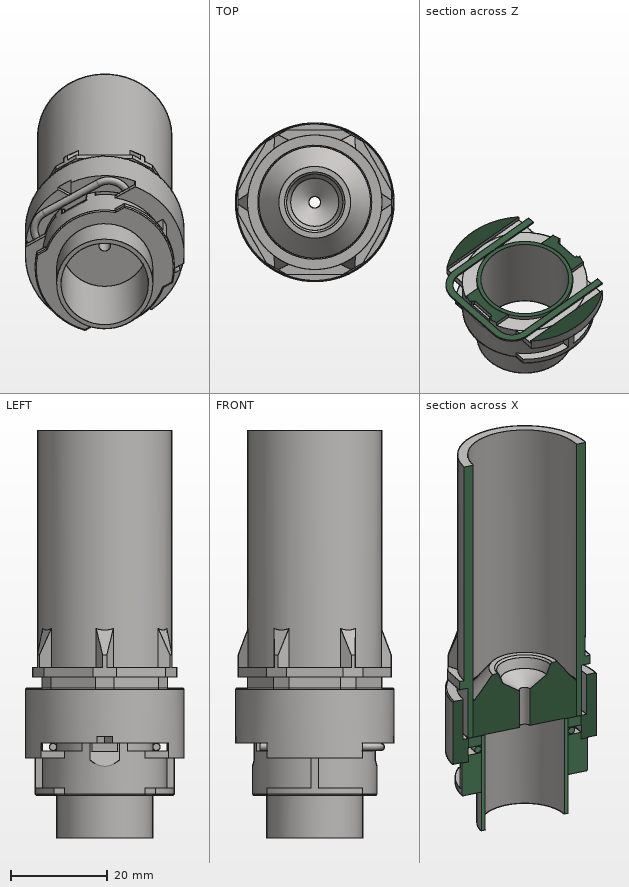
import cadquery as cq
import math

total_height = 84.7
joint_z = 22.0
edge_chamfer = 0.25
corner_count = 6

sleeve_radius = 10.0
sleeve_bore_radius = 9.1

carrier_radius = 13.0
carrier_bottom_z = 8.9
flange_radius = 14.5
flange_top_z = 10.4
web_width = 1.5
guard_half_width = 9.9
slot_inner_y = 4.75
notch_width = 6.1
notch_start_z = 14.9
notch_top_z = 17.95
notch_depth = 0.85
recess_width = 5.25
recess_depth = 1.35

ring_radius = 16.5
ring_bottom_z = 19.7
ring_top_z = 31.2
ring_bore_radius = 14.15
skirt_bottom_z = 16.6
mark_width = 3.2
mark_height = 1.35

wire_diameter = 1.5
wire_leg_start_x = -11.35
wire_bend_radius = 4.2
slot_bottom_z = 18.1

tube_radius = 14.0
tube_bore_radius = 11.9
neck_apothem = 13.05
neck_corner_distance = tube_radius
hex_apothem = 15.0
hex_corner_distance = 15.9
hex_bottom_z = 33.45
hex_top_z = 35.5
rib_bend_z = 38.0
rib_top_z = 43.5
rib_root_width = 3.55
rib_tip_width = 0.85

seal_cone_base_radius = 11.6
seal_cone_base_z = 30.5
seal_top_z = 35.6
seal_top_radius = 7.45
mouth_radius = 6.3
mouth_inner_radius = 5.85
mouth_depth = 0.4
throat_radius = 5.0
throat_depth = 2.5
funnel_depth = 2.5
cable_hole_radius = 1.2


def cylinder(radius, bottom_z, top_z):
    return cq.Workplane("XY").workplane(offset=bottom_z).circle(radius).extrude(top_z - bottom_z)


def block(x_range, y_range, z_range):
    """Box between the given limits along X, Y and Z."""
    sizes = [high - low for low, high in (x_range, y_range, z_range)]
    corner = (x_range[0], y_range[0], z_range[0])
    return cq.Workplane("XY").box(*sizes, centered=False).translate(corner)


def both_x_sides(tool):
    """The tool on the +X side, and its copy on the -X side."""
    return tool.union(tool.rotate((0, 0, 0), (0, 0, 1), 180))


def blunt_hexagon(apothem, corner_distance, bottom_z, top_z):
    """Hexagonal prism with one corner on +X, each corner cut off by a flat."""
    across_corners = 2 * apothem / math.cos(math.pi / corner_count)
    height = top_z - bottom_z
    plane = cq.Workplane("XY").workplane(offset=bottom_z)
    prism = plane.polygon(corner_count, across_corners).extrude(height)
    flats_diameter = 2 * corner_distance / math.cos(math.pi / corner_count)
    flats = plane.polygon(corner_count, flats_diameter).extrude(height)
    flats = flats.rotate((0, 0, 0), (0, 0, 1), 180 / corner_count)
    return prism.intersect(flats)


def make_sleeve():
    return cylinder(sleeve_radius, 0, joint_z).cut(cylinder(sleeve_bore_radius, 0, joint_z))


def ramped_notch():
    """Notch on the +X side: a ramp rising inward, then a flat wall with a recess in it."""
    wall_x = carrier_radius - notch_depth
    ramp = (
        cq.Workplane("XZ")
        .moveTo(carrier_radius, notch_start_z)
        .lineTo(wall_x, notch_top_z)
        .lineTo(wall_x, ring_bottom_z)
        .lineTo(carrier_radius, ring_bottom_z)
        .close()
        .extrude(notch_width / 2, both=True)
    )
    recess = block(
        (carrier_radius - recess_depth, carrier_radius),
        (-recess_width / 2, recess_width / 2),
        (notch_top_z, ring_bottom_z),
    )
    return ramp.union(recess)


def wire_slot():
    """Slot along X on the +Y side, in which a wire leg lies."""
    return block(
        (-carrier_radius, carrier_radius),
        (slot_inner_y, carrier_radius),
        (slot_bottom_z, ring_bottom_z),
    )


def make_carrier():
    barrel = cylinder(carrier_radius, carrier_bottom_z, joint_z)
    guard_limits = block(
        (-guard_half_width, guard_half_width),
        (-flange_radius, flange_radius),
        (carrier_bottom_z, skirt_bottom_z),
    )
    web_limits = block(
        (-web_width / 2, web_width / 2),
        (-flange_radius, flange_radius),
        (flange_top_z, skirt_bottom_z),
    )
    flange = cylinder(flange_radius, carrier_bottom_z, flange_top_z).intersect(guard_limits)
    webs = cylinder(flange_radius, flange_top_z, skirt_bottom_z).intersect(web_limits)
    carrier = barrel.union(flange).union(webs).faces("<Z").chamfer(edge_chamfer)
    carrier = carrier.cut(cylinder(sleeve_radius, carrier_bottom_z, joint_z))
    carrier = carrier.cut(both_x_sides(ramped_notch()))
    return carrier.cut(wire_slot()).cut(wire_slot().mirror("XZ"))


def v_mark():
    """60 degree V groove in the lower edge of the ring on the +X side."""
    depth = mark_width / 2 * math.tan(math.radians(60))
    return (
        cq.Workplane("XY")
        .workplane(offset=ring_bottom_z)
        .moveTo(ring_radius - depth, 0)
        .lineTo(ring_radius, mark_width / 2)
        .lineTo(ring_radius, -mark_width / 2)
        .close()
        .extrude(mark_height)
    )


def make_ring():
    collar = cylinder(ring_radius, ring_bottom_z, ring_top_z).faces(">Z").chamfer(edge_chamfer)
    skirt_limits = block(
        (-guard_half_width, guard_half_width),
        (-ring_radius, ring_radius),
        (skirt_bottom_z, ring_bottom_z),
    )
    skirts = cylinder(ring_radius, skirt_bottom_z, ring_bottom_z).intersect(skirt_limits)
    wire_clearance = block(
        (-ring_radius, ring_radius),
        (-carrier_radius, carrier_radius),
        (slot_bottom_z, ring_bottom_z),
    )
    ring = collar.union(skirts).cut(cylinder(carrier_radius, skirt_bottom_z, ring_top_z))
    ring = ring.cut(cylinder(ring_bore_radius, joint_z, ring_top_z))
    return ring.cut(wire_clearance).cut(both_x_sides(v_mark()))


def make_clip():
    """U-shaped wire: two legs along X, joined outside the carrier on the +X side."""
    wire_radius = wire_diameter / 2
    leg_y = sleeve_radius + wire_radius
    bridge_x = carrier_radius + wire_radius
    wire_z = (slot_bottom_z + ring_bottom_z) / 2
    bend_x = bridge_x - wire_bend_radius
    bend_y = leg_y - wire_bend_radius
    bend_offset = wire_bend_radius * math.sin(math.pi / 4)
    path = (
        cq.Workplane("XY")
        .workplane(offset=wire_z)
        .moveTo(wire_leg_start_x, leg_y)
        .lineTo(bend_x, leg_y)
        .threePointArc((bend_x + bend_offset, bend_y + bend_offset), (bridge_x, bend_y))
        .lineTo(bridge_x, -bend_y)
        .threePointArc((bend_x + bend_offset, -bend_y - bend_offset), (bend_x, -leg_y))
        .lineTo(wire_leg_start_x, -leg_y)
    )
    section = cq.Workplane("YZ", origin=(wire_leg_start_x, leg_y, wire_z)).circle(wire_radius)
    return section.sweep(path)


def rib():
    """Rib on the +X side: it narrows outward, and its top slopes down to a short upright edge."""
    root_x = tube_radius * math.cos(math.asin(rib_root_width / 2 / tube_radius))
    plan = (
        cq.Workplane("XY")
        .workplane(offset=hex_top_z)
        .moveTo(tube_bore_radius, rib_root_width / 2)
        .lineTo(root_x, rib_root_width / 2)
        .lineTo(hex_corner_distance, rib_tip_width / 2)
        .lineTo(hex_corner_distance, -rib_tip_width / 2)
        .lineTo(root_x, -rib_root_width / 2)
        .lineTo(tube_bore_radius, -rib_root_width / 2)
        .close()
        .extrude(rib_top_z - hex_top_z)
    )
    side = (
        cq.Workplane("XZ")
        .moveTo(tube_bore_radius, hex_top_z)
        .lineTo(hex_corner_distance, hex_top_z)
        .lineTo(hex_corner_distance, rib_bend_z)
        .lineTo(root_x, rib_top_z)
        .lineTo(tube_bore_radius, rib_top_z)
        .close()
        .extrude(rib_root_width, both=True)
    )
    return plan.intersect(side)


def make_housing():
    neck = blunt_hexagon(neck_apothem, neck_corner_distance, joint_z, hex_bottom_z)
    hexagon = blunt_hexagon(hex_apothem, hex_corner_distance, hex_bottom_z, hex_top_z)
    tube = cylinder(tube_radius, hex_top_z, total_height)
    housing = neck.union(hexagon).union(tube)
    for index in range(corner_count):
        housing = housing.union(rib().rotate((0, 0, 0), (0, 0, 1), index * 360 / corner_count))
    return housing.cut(cylinder(tube_bore_radius, joint_z, total_height))


def make_seal():
    """Plug in the tube bore: conical outside, with a funnel leading to the cable hole."""
    throat_z = seal_top_z - throat_depth
    return (
        cq.Workplane("XZ")
        .moveTo(cable_hole_radius, joint_z)
        .lineTo(tube_bore_radius, joint_z)
        .lineTo(tube_bore_radius, seal_cone_base_z)
        .lineTo(seal_cone_base_radius, seal_cone_base_z)
        .lineTo(seal_top_radius, seal_top_z)
        .lineTo(mouth_radius, seal_top_z)
        .lineTo(mouth_inner_radius, seal_top_z - mouth_depth)
        .lineTo(throat_radius, throat_z)
        .lineTo(cable_hole_radius, throat_z - funnel_depth)
        .close()
        .revolve(360, (0, 0, 0), (0, 1, 0))
    )


sleeve = make_sleeve()
carrier = make_carrier()
ring = make_ring()
clip = make_clip()
housing = make_housing()
seal = make_seal()

bodies = [sleeve, carrier, ring, clip, housing, seal]
result = cq.Compound.makeCompound([body.solids().val() for body in bodies])